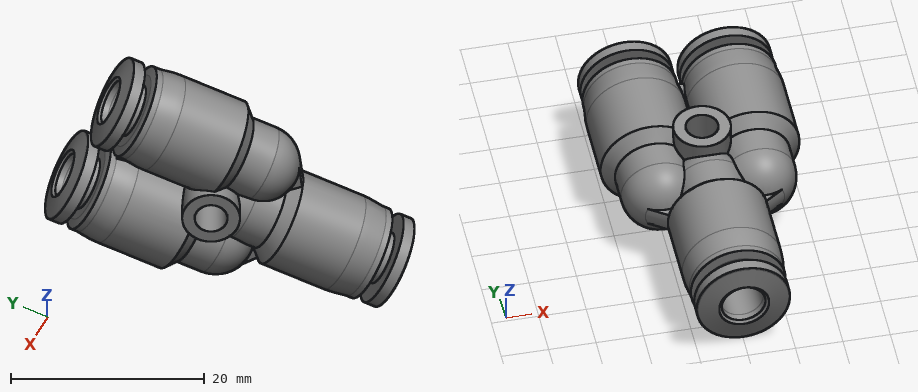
import cadquery as cq
import math


overall_length = 36.0
barrel_radius = 5.25
branch_spacing = 10.48
port_end = overall_length / 2
branch_offset = branch_spacing / 2

cap_radius = 4.95
cap_edge_bevel = 0.15
cap_edge_bevel_length = 0.07
cap_cone_depth = 0.35
cap_back_depth = 1.7
neck_radius = 2.8

lip_depth = 2.88
lip_radius = 5.0
lip_face_radius = 3.95
lip_face_drop = 0.15
lip_back_depth = 3.75
taper_back_depth = 6.23
barrel_back_depth = 13.5
shank_radius = 4.0
shoulder_depth = barrel_back_depth + barrel_radius - shank_radius
dome_depth = 17.7

mouth_radius = 2.63
socket_radius = 2.3
mouth_depth = 0.3
sleeve_radius = 2.25
sleeve_depth = 1.0
socket_depth = barrel_back_depth
passage_radius = 1.48
cross_passage_radius = 1.45

eye_outer_radius = 3.0
eye_hole_radius = 1.7
eye_y = 3.5

web_thickness = 2.1
web_crown_radius = 3.6
web_dome_inset = 0.005
web_edge_overlap = 0.05

dome_y = port_end - dome_depth
stem_barrel_y = barrel_back_depth - port_end

web_reach = shank_radius - web_dome_inset
edge_dx = branch_offset - barrel_radius
edge_dy = dome_y - stem_barrel_y + web_edge_overlap
web_angle = math.atan2(edge_dy, edge_dx) - math.asin(web_reach / math.hypot(edge_dx, edge_dy))

junction_y = dome_y - branch_offset * math.tan(web_angle)


def port_body():
    """Solid port: cap, neck, barrel and domed shank, with its outer end at the origin, running along -Y."""
    return (
        cq.Workplane("XY")
        .moveTo(0, 0)
        .lineTo(mouth_radius, 0)
        .lineTo(cap_radius - cap_edge_bevel, -cap_cone_depth)
        .lineTo(cap_radius, -cap_cone_depth - cap_edge_bevel_length)
        .lineTo(cap_radius, -cap_back_depth)
        .lineTo(neck_radius, -cap_back_depth)
        .lineTo(neck_radius, -lip_depth)
        .lineTo(lip_face_radius, -lip_depth)
        .lineTo(lip_radius, -lip_depth - lip_face_drop)
        .lineTo(lip_radius, -lip_back_depth)
        .radiusArc((barrel_radius, -taper_back_depth), taper_arc_radius())
        .lineTo(barrel_radius, -barrel_back_depth)
        .lineTo(shank_radius, -shoulder_depth)
        .lineTo(shank_radius, -dome_depth)
        .radiusArc((0, -dome_depth - shank_radius), shank_radius)
        .close()
        .revolve(360, (0, 0, 0), (0, 1, 0))
    )


def taper_arc_radius():
    """Radius of the arc that meets the barrel tangentially and drops to the lip radius."""
    run = taper_back_depth - lip_back_depth
    drop = barrel_radius - lip_radius
    return (run**2 + drop**2) / (2 * drop)


def port_bore(passage_depth):
    """Stepped bore of one port, in the same place as port_body."""
    return (
        cq.Workplane("XY")
        .moveTo(0, 0)
        .lineTo(mouth_radius, 0)
        .lineTo(socket_radius, -mouth_depth)
        .lineTo(sleeve_radius, -sleeve_depth)
        .lineTo(sleeve_radius, -socket_depth)
        .lineTo(passage_radius, -socket_depth)
        .lineTo(passage_radius, -passage_depth)
        .radiusArc((0, -passage_depth - passage_radius), passage_radius)
        .close()
        .revolve(360, (0, 0, 0), (0, 1, 0))
    )


def at_branches(shape):
    """A port shape placed at both branches."""
    left = shape.translate((-branch_offset, port_end, 0))
    right = shape.translate((branch_offset, port_end, 0))
    return left.union(right)


def at_stem(shape):
    """A port shape turned round and placed at the stem."""
    return shape.rotate((0, 0, 0), (0, 0, 1), 180).translate((0, -port_end, 0))


def diagonal_cylinder(side, radius, offset):
    """Cylinder along the web direction, ending flat at the mid plane X = 0.

    Its axis starts the given offset outward from a branch's dome centre, square to the web direction.
    """
    start = cq.Vector(
        side * (branch_offset + offset * math.sin(web_angle)),
        dome_y - offset * math.cos(web_angle),
        0,
    )
    direction = cq.Vector(-side * math.cos(web_angle), -math.sin(web_angle), 0)
    reach = start.Length / math.cos(web_angle) + 2 * radius
    half_space = cq.Workplane("XY").box(overall_length, overall_length, overall_length)
    half_space = half_space.translate((side * overall_length / 2, 0, 0))
    return cq.Workplane(cq.Solid.makeCylinder(radius, reach, start, direction)).intersect(half_space)


def lower_web(side):
    """Slice of a diagonal cylinder, bridging from a branch dome to the stem barrel's back edge."""
    slab = cq.Workplane("XY").box(overall_length, overall_length, web_thickness)
    return diagonal_cylinder(side, web_crown_radius, web_reach - web_crown_radius).intersect(slab)


def upper_web():
    """Web filling the gap between the two branch barrels, down to the eye."""
    top = port_end - lip_back_depth
    length = top - eye_y
    return cq.Workplane("XY").box(branch_offset, length, web_thickness).translate((0, eye_y + length / 2, 0))


def eye_cylinder(radius):
    """Upright cylinder on the mounting eye's axis, as tall as the barrels."""
    return cq.Workplane("XY").center(0, eye_y).circle(radius).extrude(barrel_radius, both=True)


body = at_branches(port_body()).union(at_stem(port_body()))
body = body.union(upper_web()).union(eye_cylinder(eye_outer_radius))
for side in (-1, 1):
    body = body.union(lower_web(side))

for side in (-1, 1):
    body = body.cut(diagonal_cylinder(side, cross_passage_radius, 0))
body = body.cut(at_branches(port_bore(dome_depth)))
body = body.cut(at_stem(port_bore(junction_y + port_end)))
result = body.cut(eye_cylinder(eye_hole_radius))